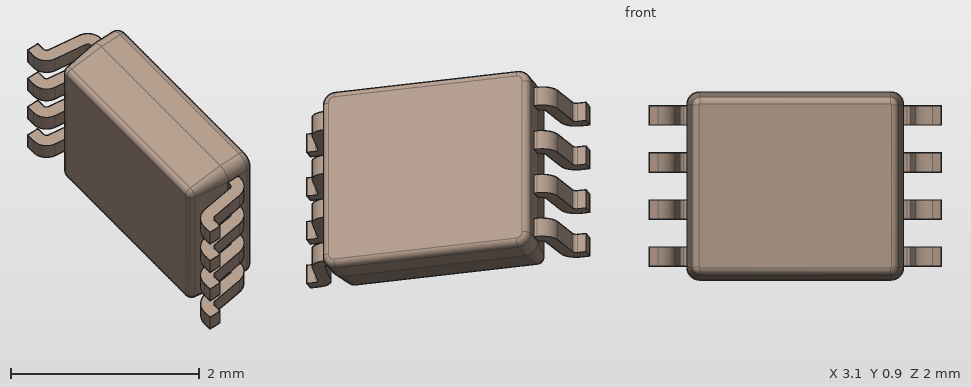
import cadquery as cq
import math


span_x = 3.1
total_y = 0.9
lean_angle = 8.0
lean = math.radians(lean_angle)

housing_x = 2.3
housing_z = 2.0
standoff = 0.1
straight_height = 0.33
corner_radius = 0.14
rim_radius = 0.075
parting_y = total_y - straight_height
taper_height = parting_y - standoff

leads_per_side = 4
lead_pitch = 0.5
lead_width = 0.208
lead_thickness = 0.14
lead_top = 0.705
foot_length = 0.095
inner_bend = 0.04
outer_bend = inner_bend + lead_thickness


def make_housing():
    """Block with upright walls, tapering towards the seating plane."""
    outline = cq.Sketch().rect(housing_x, housing_z).vertices().fillet(corner_radius)
    parting_plane = cq.Workplane("XZ", origin=(0, parting_y, 0))
    straight_part = parting_plane.placeSketch(outline).extrude(-straight_height)
    tapered_part = parting_plane.placeSketch(outline).extrude(taper_height, taper=lean_angle)
    block = straight_part.union(tapered_part)
    return block.faces("<Y or >Y").edges().fillet(rim_radius)


def bend_point(center, radius, angle):
    """Point on a bend at an angle measured from +X, in radians."""
    return (center[0] + radius * math.cos(angle), center[1] + radius * math.sin(angle))


def make_lead_profile():
    """Gull-wing outline of a lead on the -X side, in the XY plane."""
    tip_x = -span_x / 2
    wall_x = -housing_x / 2
    lead_bottom = lead_top - lead_thickness

    foot_center = (tip_x + foot_length, outer_bend)
    center_rise = lead_top - outer_bend - foot_center[1]
    center_run = center_rise * math.tan(lean) + (inner_bend + outer_bend) / math.cos(lean)
    shank_center = (foot_center[0] + center_run, foot_center[1] + center_rise)

    down = -math.pi / 2
    up = math.pi / 2
    leg_inward = -lean
    leg_outward = math.pi - lean
    foot_middle = (down + leg_inward) / 2
    shank_middle = (up + leg_outward) / 2

    def arc(outline, center, radius, middle, end):
        return outline.threePointArc(
            bend_point(center, radius, middle), bend_point(center, radius, end)
        )

    outline = cq.Workplane("XY").moveTo(tip_x, 0).lineTo(foot_center[0], 0)
    outline = arc(outline, foot_center, outer_bend, foot_middle, leg_inward)
    outline = outline.lineTo(*bend_point(shank_center, inner_bend, leg_outward))
    outline = arc(outline, shank_center, inner_bend, shank_middle, up)
    outline = outline.lineTo(wall_x, lead_bottom)
    outline = outline.lineTo(wall_x, lead_top)
    outline = outline.lineTo(shank_center[0], lead_top)
    outline = arc(outline, shank_center, outer_bend, shank_middle, leg_outward)
    outline = outline.lineTo(*bend_point(foot_center, inner_bend, leg_inward))
    outline = arc(outline, foot_center, inner_bend, foot_middle, down)
    outline = outline.lineTo(tip_x, lead_thickness)
    return outline.close()


def make_leads():
    """Two mirrored rows of leads, each lead a separate solid."""
    left_lead = make_lead_profile().extrude(lead_width / 2, both=True)
    right_lead = left_lead.mirror("YZ")
    leads = []
    for lead in (left_lead, right_lead):
        for index in range(leads_per_side):
            z = (index - (leads_per_side - 1) / 2) * lead_pitch
            leads.append(lead.translate((0, 0, z)).solids().val())
    return leads


housing = make_housing()
leads = make_leads()
result = cq.Compound.makeCompound([housing.solids().val(), *leads])